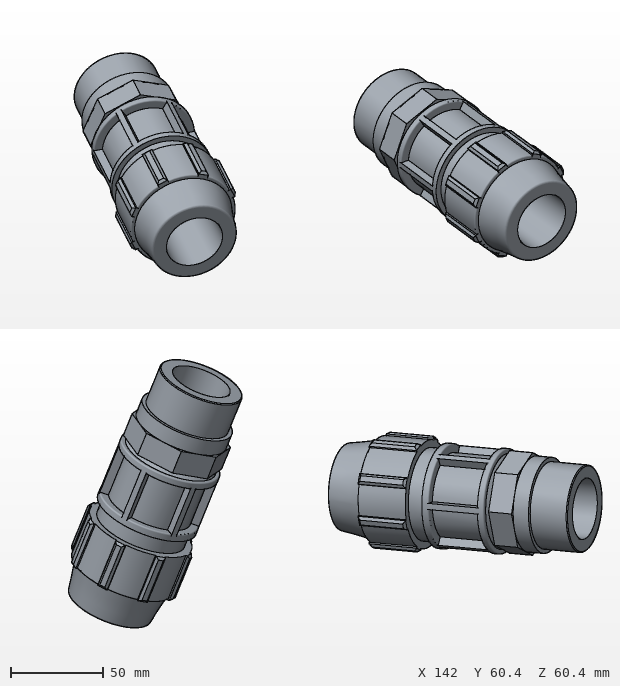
import cadquery as cq
import math


spigot_end = 21.9
collar_end = 31.0
octagon_end = 44.6
body_start = 47.3
body_end = 84.0
nut_start = 93.5
nut_end = 121.7
total_length = 142.0

entry_bore_radius = 33.5 / 2
bore_radius = 32.0 / 2

spigot_radius = 47.9 / 2
spigot_chamfer = 0.5
collar_radius = 52.5 / 2
octagon_sides = 8
octagon_corner_diameter = 57.1

shoulder_small_radius = 22.7
shoulder_large_radius = 26.3
body_radius = 57.7 / 2
body_fillet = 0.9
flange_width = 4.1
window_floor_radius = spigot_radius
web_count = 6
web_width = 3.4
neck_radius = 51.3 / 2

nut_radius = 29.8
nut_fillet = 0.9
rib_count = 8
rib_width = 6.0
rib_top = 32.0
rib_chamfer = 1.4
taper_large_radius = 27.7
taper_mid_radius = 25.5
taper_small_radius = 24.0
nose_fillet = 1.3


def cylinder(start, end, radius):
    """Solid cylinder on the X axis between two stations."""
    return cq.Workplane("YZ", origin=(start, 0, 0)).circle(radius).extrude(end - start)


def radial_bar(start, end, width, inner, outer):
    """Box along X that stands out from the axis in the +Y direction."""
    return cq.Workplane("XY").box(
        end - start, outer - inner, width, centered=(False, False, True)
    ).translate((start, inner, 0))


def around_axis(shape, count, first_angle):
    """List of copies of a shape, evenly spaced around the X axis."""
    return [
        shape.rotate((0, 0, 0), (1, 0, 0), first_angle + i * 360 / count)
        for i in range(count)
    ]


def make_inlet():
    spigot = cylinder(0, spigot_end, spigot_radius).faces("<X").chamfer(spigot_chamfer)
    collar = cylinder(spigot_end, collar_end, collar_radius)
    octagon = (
        cq.Workplane("YZ", origin=(collar_end, 0, 0))
        .polygon(octagon_sides, octagon_corner_diameter)
        .extrude(octagon_end - collar_end)
    )
    return spigot.union(collar).union(octagon)


def make_shoulder():
    """Cone that opens from the octagon to the windowed body."""
    return (
        cq.Workplane("XY")
        .moveTo(octagon_end, 0)
        .lineTo(octagon_end, shoulder_small_radius)
        .lineTo(body_start, shoulder_large_radius)
        .lineTo(body_start, 0)
        .close()
        .revolve(360, (0, 0, 0), (1, 0, 0))
    )


def make_body():
    """Barrel with a ring of windows between two flanges, parted by straight webs."""
    barrel = cylinder(body_start, body_end, body_radius).faces("<X").edges().fillet(body_fillet)
    window_start = body_start + flange_width
    window_end = body_end - flange_width
    rim = body_radius - body_fillet
    arc_inset = body_fillet * (1 - math.sqrt(0.5))
    groove = (
        cq.Workplane("XY")
        .moveTo(window_start, window_floor_radius)
        .lineTo(window_start, rim)
        .threePointArc(
            (window_start - arc_inset, body_radius - arc_inset),
            (window_start - body_fillet, body_radius),
        )
        .lineTo(window_end + body_fillet, body_radius)
        .threePointArc(
            (window_end + arc_inset, body_radius - arc_inset),
            (window_end, rim),
        )
        .lineTo(window_end, window_floor_radius)
        .close()
        .revolve(360, (0, 0, 0), (1, 0, 0))
    )
    web = radial_bar(body_start, body_end, web_width, 0, 2 * body_radius)
    for copy in around_axis(web, web_count, 0):
        groove = groove.cut(copy)
    return barrel.cut(groove)


def make_nut():
    nut = cylinder(nut_start, nut_end, nut_radius).faces(">X").edges().fillet(nut_fillet)
    rib = (
        radial_bar(nut_start, nut_end, rib_width, neck_radius, rib_top)
        .faces(">Y")
        .chamfer(rib_chamfer)
    )
    for copy in around_axis(rib, rib_count, 180 / rib_count):
        nut = nut.union(copy)
    return nut


def make_nose():
    """Slightly hollow taper from the nut to the outlet end."""
    return (
        cq.Workplane("XY")
        .moveTo(nut_end, 0)
        .lineTo(nut_end, taper_large_radius)
        .threePointArc(
            ((nut_end + total_length) / 2, taper_mid_radius),
            (total_length, taper_small_radius),
        )
        .lineTo(total_length, 0)
        .close()
        .revolve(360, (0, 0, 0), (1, 0, 0))
        .faces(">X")
        .edges()
        .fillet(nose_fillet)
    )


neck = cylinder(body_end, nut_start, neck_radius)
entry_bore = cylinder(0, octagon_end, entry_bore_radius)
through_bore = cylinder(0, total_length, bore_radius)

result = (
    make_inlet()
    .union(make_shoulder())
    .union(make_body())
    .union(neck)
    .union(make_nut())
    .union(make_nose())
    .cut(entry_bore)
    .cut(through_bore)
)